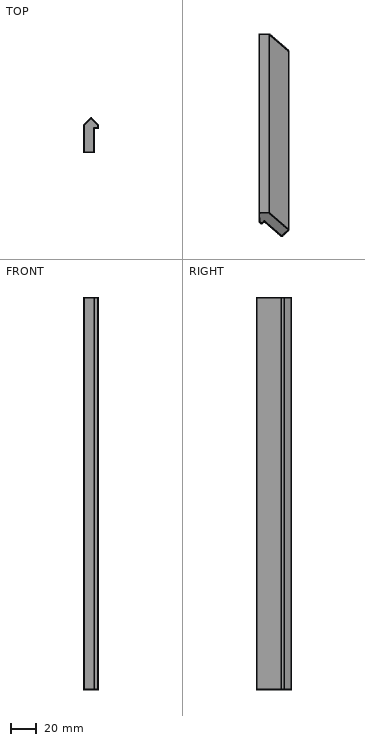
import cadquery as cq

length = 304.8
head_width = 11.0
section_depth = 26.8
stem_width = 8.0
hook_edge_height = 2.5

half_width = head_width / 2
point_height = half_width
shoulder_y = section_depth - point_height
hook_bottom_y = shoulder_y - hook_edge_height

result = (
    cq.Workplane("XY")
    .moveTo(0, 0)
    .lineTo(stem_width, 0)
    .lineTo(stem_width, hook_bottom_y)
    .lineTo(head_width, hook_bottom_y)
    .lineTo(head_width, shoulder_y)
    .lineTo(half_width, section_depth)
    .lineTo(0, shoulder_y)
    .close()
    .extrude(length)
)